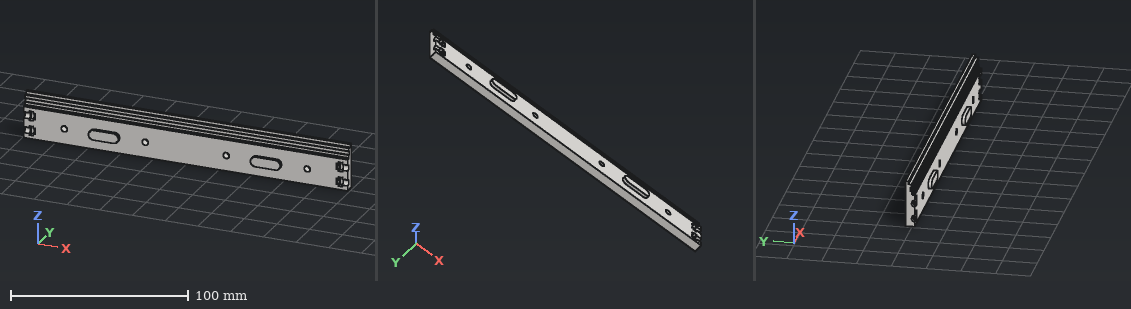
import cadquery as cq

length = 198.0
height = 27.3
plate_thickness = 5.3

lip_depth = 1.8
lip_drop = 1.8
bead_depth = 3.5
bead_drop = 3.8
groove_depth = 3.0
groove_drop = 6.0
riser_depth = 3.8
bevel_size = 0.5
shelf_drop = 8.1

feature_line_z = 9.5
bay_count = 4
bay_length = length / bay_count
hole_diameter = 3.5
pad_length = 18.2
pad_width = 6.0
pad_height = 2.0

channel_pitch = 9.1
channel_radius = 1.8
channel_length = 7.0
nut_pocket_start = 3.4
nut_pocket_thickness = 2.4
nut_pocket_width = 5.5
nut_pocket_depth = 2.8


def stepped_plate():
    """Plate extruded along X from its stepped cross-section."""
    outline = [
        (0, 0),
        (-plate_thickness, 0),
        (-plate_thickness, height - shelf_drop),
        (-riser_depth - bevel_size, height - shelf_drop),
        (-riser_depth, height - shelf_drop + bevel_size),
        (-riser_depth, height - groove_drop),
        (-groove_depth, height - groove_drop),
        (-groove_depth, height - bead_drop),
        (-bead_depth, height - bead_drop),
        (-bead_depth, height - lip_drop),
        (-lip_depth, height - lip_drop),
        (-lip_depth, height),
        (0, height),
    ]
    return cq.Workplane("YZ").polyline(outline).close().extrude(length)


def pads():
    """Two raised oblong pads on the front face."""
    return (
        cq.Workplane("XZ")
        .pushPoints([(x, feature_line_z) for x in (bay_length, length - bay_length)])
        .slot2D(pad_length, pad_width)
        .extrude(plate_thickness + pad_height)
    )


def mounting_holes():
    """One through hole in the middle of each quarter of the length."""
    centres = [((bay + 0.5) * bay_length, feature_line_z) for bay in range(bay_count)]
    return cq.Workplane("XZ").pushPoints(centres).circle(hole_diameter / 2).extrude(plate_thickness)


def screw_seat(z):
    """Half-round screw channel from the X = 0 end, crossed by a flat-bottomed nut pocket."""
    channel = (
        cq.Workplane("YZ")
        .center(-plate_thickness, z)
        .circle(channel_radius)
        .extrude(channel_length)
    )
    nut_pocket = (
        cq.Workplane("XY")
        .box(nut_pocket_thickness, nut_pocket_depth, nut_pocket_width, centered=(False, False, True))
        .translate((nut_pocket_start, -plate_thickness, z))
    )
    return channel.union(nut_pocket)


result = stepped_plate().union(pads()).cut(mounting_holes())
for z in (feature_line_z - channel_pitch / 2, feature_line_z + channel_pitch / 2):
    seat = screw_seat(z)
    opposite_seat = seat.mirror("YZ").translate((length, 0, 0))
    result = result.cut(seat).cut(opposite_seat)